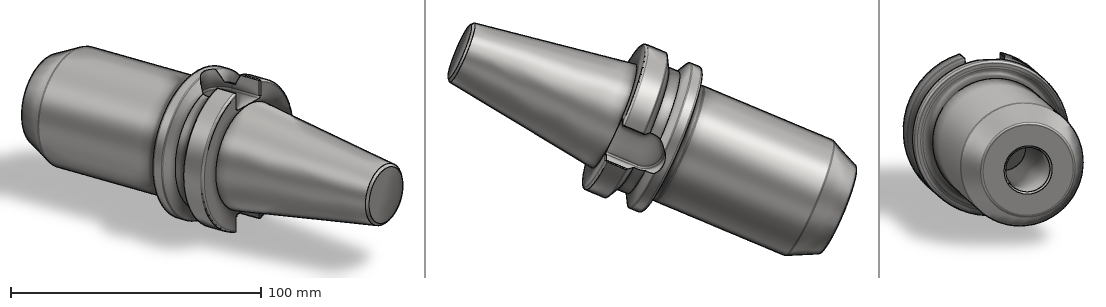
import cadquery as cq
import math


GAUGE_DIAMETER = 44.45
TAPER_RATIO = 7 / 24
SHANK_LENGTH = 65.4
SHANK_END_CHAMFER = 1.0

NOSE_X = -100.0
BODY_DIAMETER = 50.0
NOSE_DIAMETER = 38.0
NOSE_CONE_LENGTH = 12.7
BODY_EDGE_RADIUS = 1.0

BORE_DIAMETER = 18.0
BORE_DEPTH = 50.0
BORE_CHAMFER = 0.8

FLANGE_DIAMETER = 63.0
FLANGE_BACK_X = -2.0
FLANGE_WIDTH = 25.0
RIM_EDGE_RADIUS = 1.0
GROOVE_DIAMETER = 53.0
GROOVE_CENTER_X = -16.7
GROOVE_FLOOR_WIDTH = 4.8
GROOVE_FLANK_ANGLE = 30.0
GROOVE_EDGE_RADIUS = 0.5

NECK_DIAMETER = 49.8
NECK_START_X = -30.6
NECK_ENTRY_ANGLE = 15.0
NECK_RADIUS = 3.0
NECK_EXIT_ANGLE = 8.0
NECK_EXIT_DIAMETER = 58.4

SLOT_WIDTH = 16.1
SLOT_FLOOR_HEIGHT = 22.6
SLOT_FLOOR_RADIUS = 0.8
SLOT_EDGE_CHAMFER = 0.5
SLOT_END_X = -23.8

body_radius = BODY_DIAMETER / 2
flange_radius = FLANGE_DIAMETER / 2
flange_front_x = FLANGE_BACK_X - FLANGE_WIDTH
groove_floor_radius = GROOVE_DIAMETER / 2
half_groove_floor = GROOVE_FLOOR_WIDTH / 2
groove_flank_run = (flange_radius - groove_floor_radius) * math.tan(math.radians(GROOVE_FLANK_ANGLE))
half_groove_mouth = half_groove_floor + groove_flank_run


def taper_radius(x):
    """Radius of the taper cone at the axial position x."""
    return (GAUGE_DIAMETER - x * TAPER_RATIO) / 2


def fillet_ring(part, x, radius):
    """Round the circular edge that lies around the axis at the axial position x."""
    tolerance = 0.01
    reach = FLANGE_DIAMETER
    region = cq.selectors.BoxSelector((x - tolerance, -reach, -reach), (x + tolerance, reach, reach))
    outer_ring = part.edges(region).edges(cq.selectors.RadiusNthSelector(-1))
    return outer_ring.fillet(radius)


def make_blank():
    """Revolve the body, the undercut, the flange and the taper shank about the X axis."""
    neck_radius = NECK_DIAMETER / 2
    entry_run = (body_radius - neck_radius) / math.tan(math.radians(NECK_ENTRY_ANGLE))

    exit_angle = math.radians(NECK_EXIT_ANGLE)
    exit_radius = NECK_EXIT_DIAMETER / 2
    arc_center_r = neck_radius + NECK_RADIUS
    arc_end_r = arc_center_r + NECK_RADIUS * math.sin(exit_angle)
    arc_end_x = flange_front_x + (exit_radius - arc_end_r) * math.tan(exit_angle)
    arc_center_x = arc_end_x - NECK_RADIUS * math.cos(exit_angle)
    arc_middle_angle = (exit_angle - math.pi / 2) / 2
    arc_middle = (
        arc_center_x + NECK_RADIUS * math.cos(arc_middle_angle),
        arc_center_r + NECK_RADIUS * math.sin(arc_middle_angle),
    )

    shank_chamfer_x = SHANK_LENGTH - SHANK_END_CHAMFER
    profile = (
        cq.Workplane("XZ")
        .moveTo(NOSE_X, 0)
        .lineTo(NOSE_X, NOSE_DIAMETER / 2)
        .lineTo(NOSE_X + NOSE_CONE_LENGTH, body_radius)
        .lineTo(NECK_START_X, body_radius)
        .lineTo(NECK_START_X + entry_run, neck_radius)
        .lineTo(arc_center_x, neck_radius)
        .threePointArc(arc_middle, (arc_end_x, arc_end_r))
        .lineTo(flange_front_x, exit_radius)
        .lineTo(flange_front_x, flange_radius)
        .lineTo(GROOVE_CENTER_X - half_groove_mouth, flange_radius)
        .lineTo(GROOVE_CENTER_X - half_groove_floor, groove_floor_radius)
        .lineTo(GROOVE_CENTER_X + half_groove_floor, groove_floor_radius)
        .lineTo(GROOVE_CENTER_X + half_groove_mouth, flange_radius)
        .lineTo(FLANGE_BACK_X, flange_radius)
        .lineTo(FLANGE_BACK_X, taper_radius(FLANGE_BACK_X))
        .lineTo(shank_chamfer_x, taper_radius(shank_chamfer_x))
        .lineTo(SHANK_LENGTH, taper_radius(SHANK_LENGTH) - SHANK_END_CHAMFER)
        .lineTo(SHANK_LENGTH, 0)
        .close()
    )
    return profile.revolve(360, (0, 0, 0), (1, 0, 0))


def round_outer_edges(part):
    """Round the nose cone edges, the flange rims and the mouth of the V groove."""
    for x in (NOSE_X, NOSE_X + NOSE_CONE_LENGTH):
        part = fillet_ring(part, x, BODY_EDGE_RADIUS)
    for x in (flange_front_x, FLANGE_BACK_X):
        part = fillet_ring(part, x, RIM_EDGE_RADIUS)
    for side in (-1, 1):
        part = fillet_ring(part, GROOVE_CENTER_X + side * half_groove_mouth, GROOVE_EDGE_RADIUS)
    return part


def cut_tool_bore(part):
    """Bore the blind tool hole from the nose and chamfer its mouth."""
    bored = part.faces("<X").workplane(origin=(NOSE_X, 0, 0)).hole(BORE_DIAMETER, BORE_DEPTH)
    return bored.faces("<X").edges(cq.selectors.RadiusNthSelector(0)).chamfer(BORE_CHAMFER)


def make_key_slot():
    """Solid filling the upper key slot: round front end, open back end, rounded floor edge."""
    half_width = SLOT_WIDTH / 2
    center_x = SLOT_END_X + half_width
    slot = (
        cq.Workplane("XY", origin=(0, 0, SLOT_FLOOR_HEIGHT))
        .moveTo(FLANGE_BACK_X, -half_width)
        .lineTo(center_x, -half_width)
        .threePointArc((SLOT_END_X, 0), (center_x, half_width))
        .lineTo(FLANGE_BACK_X, half_width)
        .close()
        .extrude(flange_radius - SLOT_FLOOR_HEIGHT)
    )
    return slot.faces("<Z").edges("not >X").fillet(SLOT_FLOOR_RADIUS)


def make_slot_back_chamfer():
    """Flared block that breaks the upright edges where the slot walls meet the flange back."""
    half_width = SLOT_WIDTH / 2
    half_flare = half_width + SLOT_EDGE_CHAMFER
    front_x = FLANGE_BACK_X - SLOT_EDGE_CHAMFER
    bottom_z = SLOT_FLOOR_HEIGHT + SLOT_FLOOR_RADIUS
    return (
        cq.Workplane("XY", origin=(0, 0, bottom_z))
        .moveTo(front_x, -half_width)
        .lineTo(front_x, half_width)
        .lineTo(FLANGE_BACK_X, half_flare)
        .lineTo(FLANGE_BACK_X, -half_flare)
        .close()
        .extrude(flange_radius - bottom_z)
    )


def make_slot_edge_chamfer():
    """V-shaped bar that breaks the long edges where the slot walls meet the back rim."""
    half_width = SLOT_WIDTH / 2
    edge_z = math.sqrt(flange_radius**2 - half_width**2)
    chamfer_z = edge_z - SLOT_EDGE_CHAMFER
    rise = flange_radius - chamfer_z
    return (
        cq.Workplane("YZ", origin=(GROOVE_CENTER_X, 0, 0))
        .moveTo(-half_width, chamfer_z)
        .lineTo(half_width, chamfer_z)
        .lineTo(half_width + rise, flange_radius)
        .lineTo(-half_width - rise, flange_radius)
        .close()
        .extrude(FLANGE_BACK_X - GROOVE_CENTER_X)
    )


def cut_key_slots(part):
    """Cut the two opposite drive key slots."""
    cutters = (make_key_slot(), make_slot_back_chamfer(), make_slot_edge_chamfer())
    for angle in (0, 180):
        for cutter in cutters:
            part = part.cut(cutter.rotate((0, 0, 0), (1, 0, 0), angle))
    return part


holder = round_outer_edges(make_blank())
holder = cut_tool_bore(holder)
result = cut_key_slots(holder)